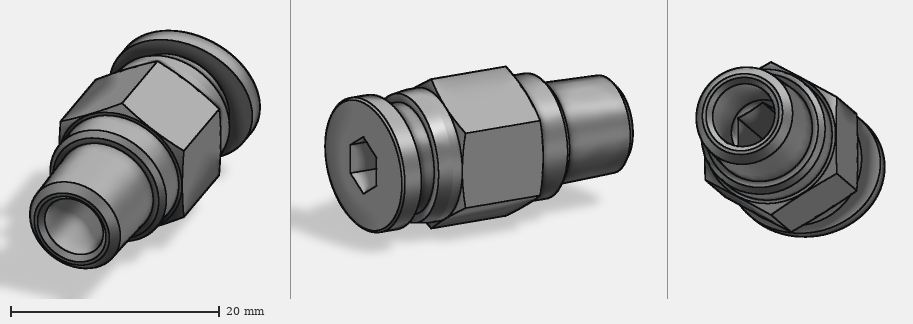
import cadquery as cq
import math

length = 27.7

thread_tip_radius = 3.95
thread_front_radius = 4.76
thread_root_radius = 4.99
thread_tip_chamfer = 0.78
thread_length = 8.0

shoulder_radius = 6.12
shoulder_chamfer = 0.55
shoulder_length = 3.45

hex_flats = 13.0
hex_length = 9.03
hex_corner_radius = hex_flats / math.sqrt(3)
hex_chamfer_radius = 6.45
hex_chamfer_length = 0.35

collar_radius = hex_flats / 2
collar_length = 1.02
taper_end_radius = 6.3
taper_length = 1.5
sleeve_radius = 5.45
sleeve_length = 1.83
neck_radius = 4.8

flange_width = 15.0
flange_height = 13.0
flange_thickness = 2.05
flange_chamfer = 0.22

mouth_radius = 3.6
bore_radius = 3.07
bore_chamfer = 0.53
bore_depth = 8.3
key_flats = 4.93
cone_length = 0.35

shoulder_front = thread_length
hex_front = shoulder_front + shoulder_length
hex_rear = hex_front + hex_length
taper_front = hex_rear + collar_length
taper_rear = taper_front + taper_length
sleeve_rear = taper_rear + sleeve_length
flange_front = length - flange_thickness


def revolve_profile(points):
    """Revolve an outline of (radius, y) points about the Y axis."""
    return cq.Workplane("XY").polyline(points).close().revolve(360, (0, 0, 0), (0, 1, 0))


def plane_at(y):
    """Workplane normal to the axis at station y, facing +Y."""
    return cq.Workplane(cq.Plane(origin=(0, y, 0), xDir=(1, 0, 0), normal=(0, 1, 0)))


def hex_bar(flats, start, end):
    """Hexagonal bar with two corners on the vertical Z axis."""
    corner_diameter = 2 * flats / math.sqrt(3)
    bar = plane_at(start).polygon(6, corner_diameter).extrude(end - start)
    return bar.rotate((0, 0, 0), (0, 1, 0), 30)


def make_round_body():
    return revolve_profile([
        (0, 0),
        (thread_tip_radius, 0),
        (thread_front_radius, thread_tip_chamfer),
        (thread_root_radius, shoulder_front),
        (shoulder_radius - shoulder_chamfer, shoulder_front),
        (shoulder_radius, shoulder_front + shoulder_chamfer),
        (shoulder_radius, hex_front),
        (collar_radius, hex_rear),
        (collar_radius, taper_front),
        (taper_end_radius, taper_rear),
        (sleeve_radius, taper_rear),
        (sleeve_radius, sleeve_rear),
        (neck_radius, sleeve_rear),
        (neck_radius, flange_front),
        (0, flange_front),
    ])


def make_wrench_hex():
    """Hexagon whose corners are trimmed by a cone at each end."""
    envelope = revolve_profile([
        (0, hex_front),
        (hex_chamfer_radius, hex_front),
        (hex_corner_radius, hex_front + hex_chamfer_length),
        (hex_corner_radius, hex_rear - hex_chamfer_length),
        (collar_radius, hex_rear),
        (0, hex_rear),
    ])
    return hex_bar(hex_flats, hex_front, hex_rear).intersect(envelope)


def make_flange():
    flange = plane_at(flange_front).ellipse(flange_width / 2, flange_height / 2).extrude(flange_thickness)
    return flange.faces(">Y").chamfer(flange_chamfer)


def make_bore():
    return revolve_profile([
        (0, 0),
        (mouth_radius, 0),
        (bore_radius, bore_chamfer),
        (bore_radius, bore_depth),
        (key_flats / 2, bore_depth + cone_length),
        (0, bore_depth + cone_length),
    ])


body = make_round_body().union(make_wrench_hex()).union(make_flange())
result = body.cut(make_bore()).cut(hex_bar(key_flats, 0, length))